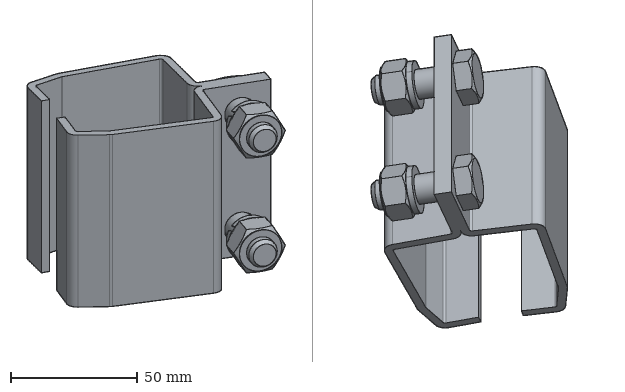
import cadquery as cq
import math

HEIGHT = 75.0
WIDTH = 65.8
DEPTH = 92.9
SHEET = 3.5
INNER_BEND = 1.0
OUTER_BEND = INNER_BEND + SHEET

TAB_LENGTH = 27.9
TAPER_LENGTH = 12.45
LIP_LENGTH = 13.5
PANEL_TILT = 3.0
TAPER_TURN = 15.0
TILT_SIN = math.sin(math.radians(PANEL_TILT))
TILT_COS = math.cos(math.radians(PANEL_TILT))
BACK_LENGTH = (WIDTH / 2 - SHEET - (INNER_BEND + OUTER_BEND) * (1 - TILT_SIN)) / TILT_COS
BACK_DROP = (INNER_BEND + OUTER_BEND) * TILT_COS + BACK_LENGTH * TILT_SIN
TAPER_DROP = TAPER_LENGTH * math.cos(math.radians(PANEL_TILT + TAPER_TURN))
SIDE_LENGTH = (DEPTH - TAB_LENGTH - BACK_DROP - TAPER_DROP - OUTER_BEND) / TILT_COS

FOLDS = [
    (TAB_LENGTH, 90 - PANEL_TILT),
    (BACK_LENGTH, -90),
    (SIDE_LENGTH, -TAPER_TURN),
    (TAPER_LENGTH, TAPER_TURN - 90),
]

BOLT_SPACING = 50.0
BOLT_SETBACK = 12.9
BOLT_Y = DEPTH - BOLT_SETBACK
SHANK_DIAMETER = 12.0
BOLT_HOLE_DIAMETER = 13.0
SHANK_TIP_X = 31.5
TIP_CHAMFER_LENGTH = 1.9
TIP_CHAMFER_DEPTH = 1.2

HEX_FLATS = 18.95
HEX_CORNERS = HEX_FLATS / math.cos(math.radians(30))
HEX_FACE_DIAMETER = 17.8
HEX_CHAMFER_ANGLE = 30.0
HEAD_LENGTH = 7.4
NUT_LENGTH = 10.6
NUT_LAND_LENGTH = 0.4
NUT_START_X = 16.1

WASHER_THICKNESS = 2.5
WASHER_DIAMETER = 19.1
WASHER_GAP = 2.0
WASHER_GAP_ANGLE = 36.0
WASHER_GAP_SLANT = 20.0


def step(point, heading, distance):
    """Move a point along a heading given in degrees."""
    angle = math.radians(heading)
    return (point[0] + distance * math.cos(angle), point[1] + distance * math.sin(angle))


def bracket_half():
    """Strip on the +X side, drawn as its left and right edges and closed at the lip."""
    left = (SHEET, DEPTH)
    right = (0, DEPTH)
    heading = -90.0
    left_edge = cq.Workplane("XY").moveTo(*left)
    right_edge = []
    for length, turn in FOLDS:
        side = math.copysign(1, turn)
        left_radius = INNER_BEND if turn > 0 else OUTER_BEND
        right_radius = OUTER_BEND if turn > 0 else INNER_BEND
        left = step(left, heading, length)
        right = step(right, heading, length)
        left_edge = left_edge.lineTo(*left)
        center = step(left, heading + 90 * side, left_radius)
        bend_start = right
        outward = heading - 90 * side
        left_middle = step(center, outward + turn / 2, left_radius)
        right_middle = step(center, outward + turn / 2, right_radius)
        left = step(center, outward + turn, left_radius)
        right = step(center, outward + turn, right_radius)
        left_edge = left_edge.threePointArc(left_middle, left)
        right_edge.append((bend_start, right_middle, right))
        heading += turn

    outline = left_edge.lineTo(*step(left, heading, LIP_LENGTH))
    outline = outline.lineTo(*step(right, heading, LIP_LENGTH))
    for bend_start, middle, bend_end in reversed(right_edge):
        outline = outline.lineTo(*bend_end).threePointArc(middle, bend_start)
    return outline.lineTo(0, DEPTH).close().extrude(HEIGHT)


def hexagon(start_x, length, chamfer_start):
    """Hexagon along X with its corners turned off at the far end, optionally at both."""
    radius = HEX_CORNERS / 2
    face_radius = HEX_FACE_DIAMETER / 2
    chamfer = (radius - face_radius) * math.tan(math.radians(HEX_CHAMFER_ANGLE))
    prism = cq.Workplane("YZ").polygon(6, HEX_CORNERS).extrude(length)
    profile = cq.Workplane("XY").moveTo(0, 0)
    if chamfer_start:
        profile = profile.lineTo(0, face_radius).lineTo(chamfer, radius)
    else:
        profile = profile.lineTo(0, radius)
    profile = profile.lineTo(length - chamfer, radius).lineTo(length, face_radius).lineTo(length, 0).close()
    envelope = profile.revolve(360, (0, 0, 0), (1, 0, 0))
    return prism.intersect(envelope).translate((start_x, 0, 0))


def spring_washer():
    """Ring closed onto the shank, with one slanted gap on the upper -Y side."""
    ring = cq.Workplane("YZ").circle(WASHER_DIAMETER / 2).extrude(WASHER_THICKNESS)
    gap = (
        cq.Workplane("XY")
        .box(2 * WASHER_THICKNESS, WASHER_DIAMETER, WASHER_GAP)
        .rotate((0, 0, 0), (0, 1, 0), -WASHER_GAP_SLANT)
        .translate((WASHER_THICKNESS / 2, -WASHER_DIAMETER / 2, 0))
        .rotate((0, 0, 0), (1, 0, 0), -WASHER_GAP_ANGLE)
    )
    return ring.cut(gap).translate((NUT_START_X - WASHER_THICKNESS, 0, 0))


def bolt():
    """Bolt, spring washer and nut on the X axis."""
    shank_radius = SHANK_DIAMETER / 2
    shank = (
        cq.Workplane("XY")
        .moveTo(-SHEET, 0)
        .lineTo(-SHEET, shank_radius)
        .lineTo(SHANK_TIP_X - TIP_CHAMFER_LENGTH, shank_radius)
        .lineTo(SHANK_TIP_X, shank_radius - TIP_CHAMFER_DEPTH)
        .lineTo(SHANK_TIP_X, 0)
        .close()
        .revolve(360, (0, 0, 0), (1, 0, 0))
    )
    head = hexagon(SHEET, HEAD_LENGTH, False).mirror("YZ")
    nut = hexagon(NUT_START_X, NUT_LENGTH, True)
    land = cq.Workplane("YZ", origin=(NUT_START_X + NUT_LENGTH, 0, 0))
    land = land.circle(HEX_FACE_DIAMETER / 2).extrude(NUT_LAND_LENGTH)
    return shank.union(head).union(spring_washer()).union(nut).union(land)


half = bracket_half()
result = half.union(half.mirror("YZ"))

bolt_places = [(BOLT_Y, HEIGHT / 2 + side * BOLT_SPACING / 2) for side in (-1, 1)]
bolt_holes = (
    cq.Workplane("YZ")
    .pushPoints(bolt_places)
    .circle(BOLT_HOLE_DIAMETER / 2)
    .extrude(SHEET, both=True)
)
result = result.cut(bolt_holes)

for bolt_y, bolt_z in bolt_places:
    result = result.union(bolt().translate((0, bolt_y, bolt_z)))